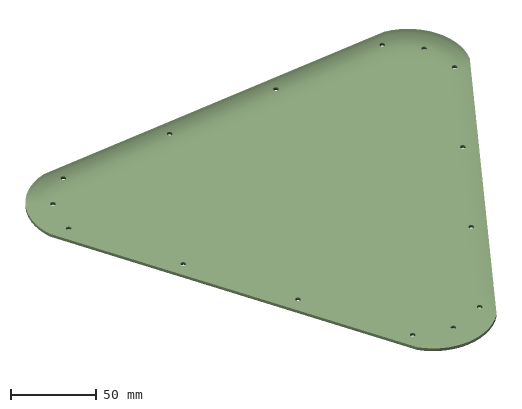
import cadquery as cq
import math

thickness = 2.0
plate_depth = 269.5
corner_radius = 37.5
hole_diameter = 3.3
hole_pitch = 75.0
holes_per_edge = 4
edge_row_offset = 27.3
corner_hole_offset = 21.3
corner_count = 3

center_spacing = hole_pitch * (holes_per_edge - 1)
center_inradius = center_spacing / (2 * math.sqrt(3))
center_circumradius = 2 * center_inradius

edge_distance = plate_depth - center_circumradius - corner_radius
edge_offset = edge_distance - center_inradius
arc_overhang = math.sqrt(corner_radius**2 - edge_offset**2)
edge_half_length = center_spacing / 2 + arc_overhang


def turned(point, step):
    """Rotate a point about the origin by a number of corner steps."""
    angle = step * 2 * math.pi / corner_count
    x, y = point
    return (
        x * math.cos(angle) - y * math.sin(angle),
        x * math.sin(angle) + y * math.cos(angle),
    )


def make_plate():
    """Triangular plate whose corners are circular arcs."""
    edge_start = (-edge_half_length, -edge_distance)
    edge_end = (edge_half_length, -edge_distance)
    corner_tip = turned((0, center_circumradius + corner_radius), -1)
    outline = cq.Workplane("XY").moveTo(*edge_start)
    for step in range(corner_count):
        outline = outline.lineTo(*turned(edge_end, step))
        outline = outline.threePointArc(turned(corner_tip, step), turned(edge_start, step + 1))
    return outline.close().extrude(thickness)


def hole_positions():
    """A row of holes along each edge and one hole in each corner."""
    row_y = -(center_inradius + edge_row_offset)
    pattern = [(0, center_circumradius + corner_hole_offset)]
    for index in range(holes_per_edge):
        pattern.append((index * hole_pitch - center_spacing / 2, row_y))
    return [turned(point, step) for step in range(corner_count) for point in pattern]


hole_cutters = (
    cq.Workplane("XY")
    .pushPoints(hole_positions())
    .circle(hole_diameter / 2)
    .extrude(thickness)
)

result = make_plate().cut(hole_cutters)